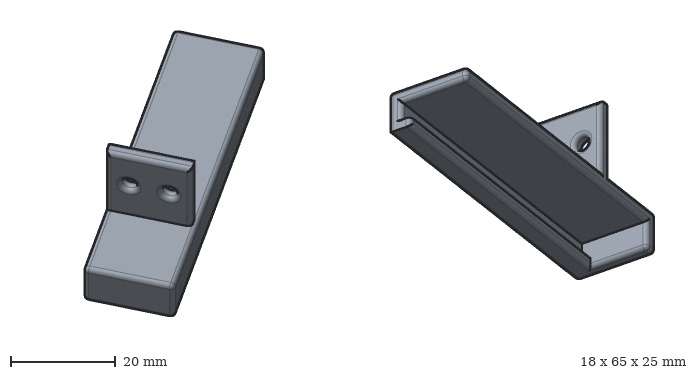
import cadquery as cq

length = 65.0
width = 18.0
total_height = 25.0
base_height = 9.05
thickness = 3.0
edge_radius = 1.0
lip_height = 2.0
lip_depth = 2.0
tab_front = 16.0
hole_diameter = 3.0
hole_spacing = 8.0
hole_height = 17.0

plate_underside = base_height - thickness
wall_inner = width - thickness
lip_inner = wall_inner - lip_depth
tab_width = width - edge_radius
tab_bottom = base_height - thickness / 2
hole_places = [(tab_width / 2 + side * hole_spacing / 2, hole_height) for side in (-1, 1)]


def box(x0, x1, y0, y1, z0, z1):
    """Axis-aligned box between two opposite corners."""
    return cq.Workplane("XY").box(x1 - x0, y1 - y0, z1 - z0, centered=False).translate((x0, y0, z0))


def nearest_edge(x, y, z):
    """Selector for the edge whose middle is nearest to a point."""
    return cq.selectors.NearestToPointSelector((x, y, z))


def make_base():
    """Rounded plate with a front wall, a side wall and a lip along the foot of the side wall."""
    block = box(0, width, 0, length, 0, base_height)
    block = block.edges("|Z or >Z or (<Z and (not >Y))").fillet(edge_radius)

    cavity = box(0, wall_inner, thickness, length, 0, plate_underside)
    lip = box(lip_inner, wall_inner, thickness, length, 0, lip_height)
    base = block.cut(cavity.cut(lip))

    middle_y = (thickness + length) / 2
    rims = [
        (0, middle_y, plate_underside),
        (0, thickness, plate_underside / 2),
        (lip_inner / 2, thickness, 0),
        (lip_inner, middle_y, 0),
        (lip_inner, length, lip_height / 2),
        (wall_inner, length, (lip_height + plate_underside) / 2),
    ]
    edges = base.newObject([base.edges(nearest_edge(*rim)).val() for rim in rims])
    return edges.fillet(edge_radius)


def make_tab():
    """Upright tab with rounded sides and top, and two holes rounded at both ends."""
    tab = box(0, tab_width, tab_front, tab_front + thickness, tab_bottom, total_height)
    tab = tab.faces("<Y or >Y").edges("not <Z").fillet(edge_radius)

    holes = (
        cq.Workplane("XZ", origin=(0, tab_front, 0))
        .pushPoints(hole_places)
        .circle(hole_diameter / 2)
        .extrude(-thickness)
    )
    tab = tab.cut(holes)
    return tab.faces("<Y or >Y").edges("%CIRCLE").fillet(edge_radius)


result = make_base().union(make_tab())